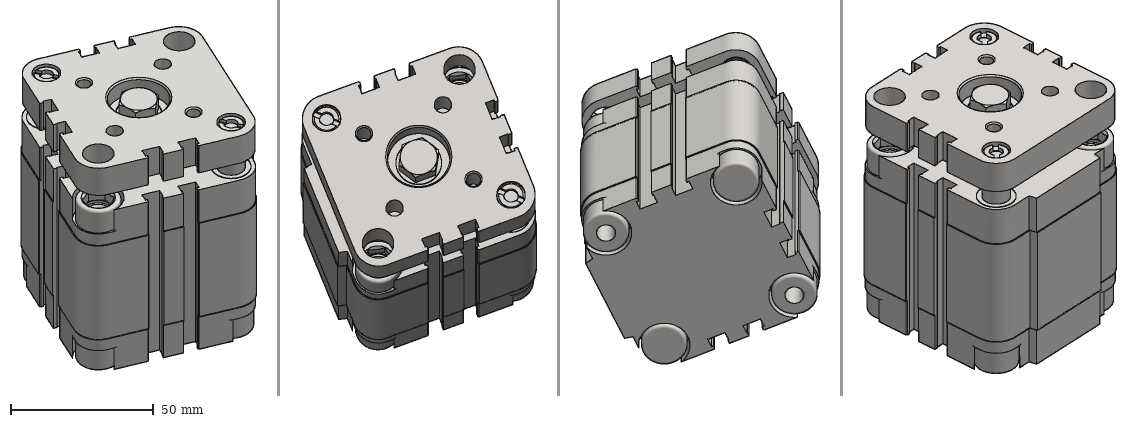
import cadquery as cq
import math

BOTTOM_CAP_TOP = 14.5
TUBE_TOP = 56.0
HOUSING_TOP = 70.5
PLATE_BOTTOM = 78.0
PLATE_TOP = 90.0

TUBE_HALF_WIDTH = 34.0
CAP_HALF_WIDTH = 33.6

CORNER_CENTRE = 25.0

TUBE_CORNER_RADIUS = TUBE_HALF_WIDTH - CORNER_CENTRE
CAP_CORNER_RADIUS = CAP_HALF_WIDTH - CORNER_CENTRE
PLATE_CORNER_RADIUS = 9.0

SLOT_FLOOR = 29.0
SLOT_LIP = 32.2
SLOT_INNER_EDGES = (3.5, 10.1)
SLOT_MOUTH_EDGES = (3.8, 9.3)
SLOT_MOUTH_BEVEL = 0.35
SLOT_OVERCUT = 1.0

RIDGE_HEIGHT = 3.0
RIDGE_BASE_HALF_WIDTH = 17.4
RIDGE_CREST_HALF_WIDTH = 16.7

SCREW_HEAD_DIAMETER = 16.0
SCREW_COUNTERBORE_DIAMETER = 18.0
SCREW_COUNTERBORE_DEPTH = 9.5
SCREW_HEAD_ROUNDING = 1.0
SCREW_BORE_DIAMETER = 6.65
SCREW_BORE_RIM_DIAMETER = 8.57
SOCKET_ACROSS_FLATS = 10.0
SOCKET_DEPTH = 5.0
SOCKET_CHAMFER_DIAMETER = 12.0
SOCKET_RELIEF_DIAMETER = 10.2
SOCKET_RELIEF_DEPTH = 6.2

GUIDE_ROD_DIAMETER = 10.0
GUIDE_ROD_TOP = PLATE_TOP - 0.7
GUIDE_ROD_CHAMFER = 0.7
GUIDE_RECESS_DIAMETER = 4.92
GUIDE_RECESS_DEPTH = 1.6
GUIDE_SLOT_WIDTH = 2.0
GUIDE_SLOT_DEPTH = 1.3
GUIDE_COLLAR_DIAMETER = 11.0
GUIDE_COLLAR_HEIGHT = 0.4
BUSH_DIAMETER = 14.0
BUSH_RECESS = 0.2

PISTON_ROD_DIAMETER = 16.0
WRENCH_ACROSS_FLATS = 13.0
WRENCH_FLAT_BOTTOM = 72.0
ROD_END = BOTTOM_CAP_TOP

PLATE_BORE_DIAMETER = 22.0
PLATE_BORE_DEPTH = 7.0
PLATE_BORE_CHAMFER = 0.6
WASHER_DIAMETER = 16.0
WASHER_THICKNESS = 0.5
HEX_ACROSS_FLATS = 13.0
HEX_TOP = PLATE_TOP - 0.7
HEX_CHAMFER_ANGLE = 30.0

ACCESS_HOLE_DIAMETER = 11.0
PATTERN_RADIUS = 21.0
PIN_HOLE_DIAMETER = 6.0
TAPPED_HOLE_DIAMETER = 4.92
TAPPED_HOLE_RIM_DIAMETER = 6.0

SCREW_CORNERS = [(-CORNER_CENTRE, CORNER_CENTRE), (CORNER_CENTRE, -CORNER_CENTRE)]
ROD_CORNERS = [(-CORNER_CENTRE, -CORNER_CENTRE), (CORNER_CENTRE, CORNER_CENTRE)]


def cylinder(diameter, bottom, top, centres=((0, 0),)):
    plane = cq.Workplane("XY", origin=(0, 0, bottom))
    return plane.pushPoints(list(centres)).circle(diameter / 2).extrude(top - bottom)


def cone(bottom_diameter, top_diameter, bottom, top, centre=(0, 0)):
    axis_start = cq.Vector(centre[0], centre[1], bottom)
    solid = cq.Solid.makeCone(bottom_diameter / 2, top_diameter / 2, top - bottom, axis_start)
    return cq.Workplane(obj=solid)


def hexagon(across_flats, bottom, top, centre=(0, 0), vertex_angle=0.0):
    corner_diameter = across_flats / math.cos(math.radians(30))
    prism = cq.Workplane("XY").polygon(6, corner_diameter).extrude(top - bottom)
    prism = prism.rotate((0, 0, 0), (0, 0, 1), vertex_angle)
    return prism.translate((centre[0], centre[1], bottom))


def rounded_square(half_width, corner_radius, bottom, top):
    plane = cq.Workplane("XY", origin=(0, 0, bottom))
    block = plane.rect(2 * half_width, 2 * half_width).extrude(top - bottom)
    return block.edges("|Z").fillet(corner_radius)


def side_slots(half_width, bottom, top):
    """Cutters for the slot pairs of the three slotted sides."""
    inner_near, inner_far = SLOT_INNER_EDGES
    mouth_near, mouth_far = SLOT_MOUTH_EDGES
    outside = half_width + SLOT_OVERCUT
    slot = (
        cq.Workplane("XY", origin=(0, 0, bottom))
        .moveTo(inner_near, -SLOT_FLOOR)
        .lineTo(inner_far, -SLOT_FLOOR)
        .lineTo(inner_far, -SLOT_LIP)
        .lineTo(mouth_far, -SLOT_LIP)
        .lineTo(mouth_far, -half_width + SLOT_MOUTH_BEVEL)
        .lineTo(mouth_far + SLOT_MOUTH_BEVEL, -half_width)
        .lineTo(mouth_far + SLOT_MOUTH_BEVEL, -outside)
        .lineTo(mouth_near, -outside)
        .lineTo(mouth_near, -SLOT_LIP)
        .lineTo(inner_near, -SLOT_LIP)
        .close()
        .extrude(top - bottom)
    )
    pair = slot.add(slot.mirror("YZ"))
    cutters = cq.Workplane("XY")
    for angle in (-90, 0, 90):
        cutters = cutters.add(pair.rotate((0, 0, 0), (0, 0, 1), angle))
    return cutters.combine()


def ridge(half_width, bottom, top):
    crest = half_width + RIDGE_HEIGHT
    return (
        cq.Workplane("XY", origin=(0, 0, bottom))
        .moveTo(-RIDGE_BASE_HALF_WIDTH, SLOT_FLOOR)
        .lineTo(-RIDGE_BASE_HALF_WIDTH, half_width)
        .lineTo(-RIDGE_CREST_HALF_WIDTH, crest)
        .lineTo(RIDGE_CREST_HALF_WIDTH, crest)
        .lineTo(RIDGE_BASE_HALF_WIDTH, half_width)
        .lineTo(RIDGE_BASE_HALF_WIDTH, SLOT_FLOOR)
        .close()
        .extrude(top - bottom)
    )


def profile_section(half_width, corner_radius, bottom, top):
    section = rounded_square(half_width, corner_radius, bottom, top)
    section = section.union(ridge(half_width, bottom, top))
    return section.cut(side_slots(half_width, bottom, top))


def add_screw_heads(housing, bottom, top, rounded_face, centres):
    """Open a counterbore at each corner and stand a rounded screw head in it."""
    housing = housing.cut(cylinder(SCREW_COUNTERBORE_DIAMETER, bottom, top, centres))
    heads = cylinder(SCREW_HEAD_DIAMETER, bottom, top, centres)
    return housing.union(heads.faces(rounded_face).edges().fillet(SCREW_HEAD_ROUNDING))


def screw_socket(centre):
    """Cutter for the hexagon socket, round relief and countersunk through bore of one screw."""
    socket_floor = HOUSING_TOP - SOCKET_DEPTH
    relief_floor = HOUSING_TOP - SOCKET_RELIEF_DEPTH
    vertex_angle = math.degrees(math.atan2(centre[1], centre[0]))
    socket = hexagon(SOCKET_ACROSS_FLATS, socket_floor, HOUSING_TOP, centre, vertex_angle)
    chamfer_depth = (SOCKET_CHAMFER_DIAMETER - SOCKET_ACROSS_FLATS) / 2
    chamfer = cone(SOCKET_ACROSS_FLATS, SOCKET_CHAMFER_DIAMETER,
                   HOUSING_TOP - chamfer_depth, HOUSING_TOP, centre)
    relief = cylinder(SOCKET_RELIEF_DIAMETER, relief_floor, socket_floor, [centre])
    rim_depth = (SCREW_BORE_RIM_DIAMETER - SCREW_BORE_DIAMETER) / 2
    rim = cone(SCREW_BORE_DIAMETER, SCREW_BORE_RIM_DIAMETER,
               relief_floor - rim_depth, relief_floor, centre)
    bore = cylinder(SCREW_BORE_DIAMETER, 0, relief_floor, [centre])
    return socket.union(chamfer).union(relief).union(rim).union(bore)


def make_housing():
    housing = profile_section(CAP_HALF_WIDTH, CAP_CORNER_RADIUS, 0, BOTTOM_CAP_TOP)
    tube = profile_section(TUBE_HALF_WIDTH, TUBE_CORNER_RADIUS, BOTTOM_CAP_TOP, TUBE_TOP)
    top_cap = profile_section(CAP_HALF_WIDTH, CAP_CORNER_RADIUS, TUBE_TOP, HOUSING_TOP)
    housing = housing.union(tube).union(top_cap)

    bottom_corners = SCREW_CORNERS + ROD_CORNERS
    housing = add_screw_heads(housing, 0, SCREW_COUNTERBORE_DEPTH, "<Z", bottom_corners)
    counterbore_floor = HOUSING_TOP - SCREW_COUNTERBORE_DEPTH
    housing = add_screw_heads(housing, counterbore_floor, HOUSING_TOP, ">Z", SCREW_CORNERS)
    for corner in SCREW_CORNERS:
        housing = housing.cut(screw_socket(corner))

    bush_recesses = cylinder(BUSH_DIAMETER, HOUSING_TOP - BUSH_RECESS, HOUSING_TOP, ROD_CORNERS)
    housing = housing.cut(bush_recesses)
    housing = housing.cut(cylinder(GUIDE_ROD_DIAMETER, ROD_END, HOUSING_TOP, ROD_CORNERS))
    return housing.cut(cylinder(PISTON_ROD_DIAMETER, ROD_END, HOUSING_TOP))


def make_piston_rod():
    rod = cylinder(PISTON_ROD_DIAMETER, ROD_END, PLATE_BOTTOM)
    flat_height = PLATE_BOTTOM - WRENCH_FLAT_BOTTOM
    flatted_band = (
        cq.Workplane("XY", origin=(0, 0, WRENCH_FLAT_BOTTOM))
        .rect(PISTON_ROD_DIAMETER, WRENCH_ACROSS_FLATS)
        .extrude(flat_height)
    )
    full_band = cylinder(2 * PISTON_ROD_DIAMETER, WRENCH_FLAT_BOTTOM, PLATE_BOTTOM)
    return rod.cut(full_band.cut(flatted_band))


def make_hexagon_screw():
    """Washer and screw head, with the corners of the hexagon bevelled at the top."""
    seat = PLATE_TOP - PLATE_BORE_DEPTH
    head_bottom = seat + WASHER_THICKNESS
    slope = math.tan(math.radians(HEX_CHAMFER_ANGLE))
    bevel_cone = cone(HEX_ACROSS_FLATS + 2 * (HEX_TOP - head_bottom) / slope, HEX_ACROSS_FLATS,
                      head_bottom, HEX_TOP)
    head = hexagon(HEX_ACROSS_FLATS, head_bottom, HEX_TOP, vertex_angle=90).intersect(bevel_cone)
    return head.union(cylinder(WASHER_DIAMETER, seat, head_bottom))


def make_plate():
    plate = rounded_square(CAP_HALF_WIDTH, PLATE_CORNER_RADIUS, PLATE_BOTTOM, PLATE_TOP)
    plate = plate.cut(side_slots(CAP_HALF_WIDTH, PLATE_BOTTOM, PLATE_TOP))

    plate = plate.cut(cylinder(PLATE_BORE_DIAMETER, PLATE_TOP - PLATE_BORE_DEPTH, PLATE_TOP))
    plate = plate.cut(cone(PLATE_BORE_DIAMETER, PLATE_BORE_DIAMETER + 2 * PLATE_BORE_CHAMFER,
                           PLATE_TOP - PLATE_BORE_CHAMFER, PLATE_TOP))

    plate = plate.cut(cylinder(ACCESS_HOLE_DIAMETER, PLATE_BOTTOM, PLATE_TOP, SCREW_CORNERS))
    plate = plate.cut(cylinder(GUIDE_ROD_DIAMETER, PLATE_BOTTOM, PLATE_TOP, ROD_CORNERS))

    offset = PATTERN_RADIUS * math.sqrt(0.5)
    pin_holes = [(-offset, offset), (offset, -offset)]
    plate = plate.cut(cylinder(PIN_HOLE_DIAMETER, PLATE_BOTTOM, PLATE_TOP, pin_holes))
    rim_depth = (TAPPED_HOLE_RIM_DIAMETER - TAPPED_HOLE_DIAMETER) / 2
    for centre in [(-offset, -offset), (offset, offset)]:
        plate = plate.cut(cylinder(TAPPED_HOLE_DIAMETER, PLATE_BOTTOM, PLATE_TOP, [centre]))
        plate = plate.cut(cone(TAPPED_HOLE_DIAMETER, TAPPED_HOLE_RIM_DIAMETER,
                               PLATE_TOP - rim_depth, PLATE_TOP, centre))
    return plate


def make_guide_rod(centre):
    """Guide rod with a collar under the plate and a slotted, recessed upper end."""
    rod = cylinder(GUIDE_ROD_DIAMETER, ROD_END, GUIDE_ROD_TOP)
    rod = rod.faces(">Z").edges().chamfer(GUIDE_ROD_CHAMFER)
    rod = rod.cut(cylinder(GUIDE_RECESS_DIAMETER, GUIDE_ROD_TOP - GUIDE_RECESS_DEPTH, GUIDE_ROD_TOP))
    slot = (
        cq.Workplane("XY", origin=(0, 0, GUIDE_ROD_TOP - GUIDE_SLOT_DEPTH))
        .rect(2 * GUIDE_ROD_DIAMETER, GUIDE_SLOT_WIDTH)
        .extrude(GUIDE_SLOT_DEPTH)
    )
    rod = rod.cut(slot.rotate((0, 0, 0), (0, 0, 1), 45))
    rod = rod.union(cylinder(GUIDE_COLLAR_DIAMETER, PLATE_BOTTOM - GUIDE_COLLAR_HEIGHT, PLATE_BOTTOM))
    return rod.translate((centre[0], centre[1], 0))


def make_slide():
    """Plate, guide rods, piston rod and its screw, which move together as one body."""
    slide = make_plate().union(make_piston_rod()).union(make_hexagon_screw())
    for corner in ROD_CORNERS:
        slide = slide.union(make_guide_rod(corner))
    return slide


housing = make_housing()
slide = make_slide()

result = cq.Compound.makeCompound([housing.solids().val(), slide.solids().val()])